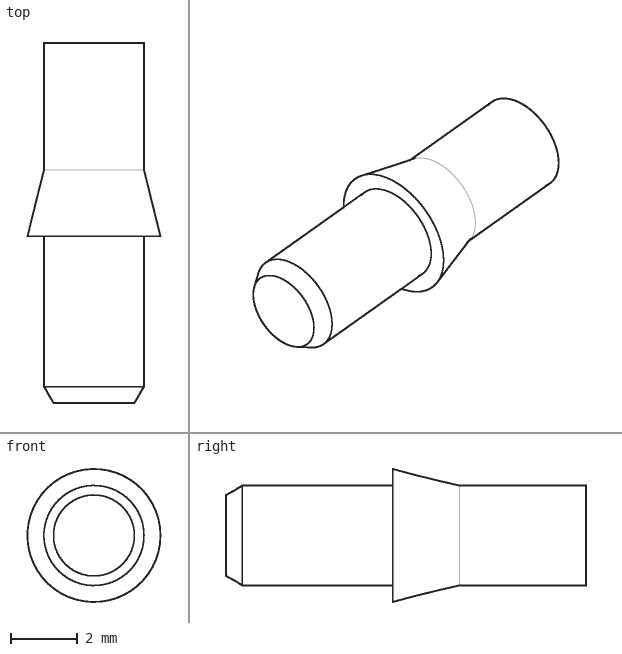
import cadquery as cq
import math

total_length = 10.8
shaft_diameter = 3.0
collar_diameter = 4.0
collar_length = 2.0
front_length = 5.0
tip_length = 0.5
tip_angle = 30.0

shaft_radius = shaft_diameter / 2
collar_radius = collar_diameter / 2
tip_radius = shaft_radius - tip_length * math.tan(math.radians(tip_angle))

collar_end = front_length + collar_length

profile = (
    cq.Workplane("XY")
    .moveTo(0, 0)
    .lineTo(tip_radius, 0)
    .lineTo(shaft_radius, tip_length)
    .lineTo(shaft_radius, front_length)
    .lineTo(collar_radius, front_length)
    .lineTo(shaft_radius, collar_end)
    .lineTo(shaft_radius, total_length)
    .lineTo(0, total_length)
    .close()
)

result = profile.revolve(360, (0, 0, 0), (0, 1, 0))